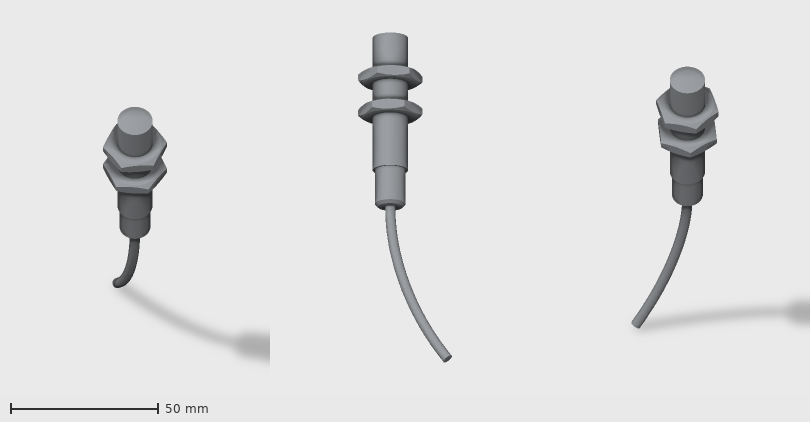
import cadquery as cq
import math

barrel_diameter = 12.0
rear_diameter = 10.5
rear_length = 13.1
rear_chamfer = 1.1
rim_height = 60.3
dome_rise = 0.8

cable_diameter = 3.5
cable_mid_offset = 3.8
cable_mid_drop = 24.1
cable_end_offset = 19.9
cable_end_drop = 55.6
cable_end_angle = 37.0

nut_across_flats = 19.0
nut_thickness = 4.0
nut_face_diameter = 17.9
nut_chamfer_angle = 25.0
upper_nut_base = 43.8
nut_pitch = 12.0
upper_nut_turn = 18.0
lower_nut_turn = 7.6


def make_barrel():
    """Stepped round barrel with a chamfered rear end and a domed front."""
    barrel_radius = barrel_diameter / 2
    rear_radius = rear_diameter / 2
    dome_radius = (barrel_radius**2 + dome_rise**2) / (2 * dome_rise)
    apex_height = rim_height + dome_rise
    mid_radius = barrel_radius / 2
    mid_height = apex_height - dome_radius + math.sqrt(dome_radius**2 - mid_radius**2)
    return (
        cq.Workplane("XZ")
        .moveTo(0, 0)
        .lineTo(rear_radius - rear_chamfer, 0)
        .lineTo(rear_radius, rear_chamfer)
        .lineTo(rear_radius, rear_length)
        .lineTo(barrel_radius, rear_length)
        .lineTo(barrel_radius, rim_height)
        .threePointArc((mid_radius, mid_height), (0, apex_height))
        .close()
        .revolve(360, (0, 0), (0, 1))
    )


def make_cable():
    """Round cable swept along a smooth curve that bends away from the barrel axis."""
    end_turn = math.radians(cable_end_angle)
    path = cq.Workplane("XZ").spline(
        [(0, 0), (-cable_mid_offset, -cable_mid_drop), (-cable_end_offset, -cable_end_drop)],
        tangents=[(0, -1), (-math.sin(end_turn), -math.cos(end_turn))],
    )
    return cq.Workplane("XY").circle(cable_diameter / 2).sweep(path)


def make_nut(base_height, turn):
    """Hexagonal nut around the barrel, with one corner turned from +X by the given angle."""
    corner_radius = nut_across_flats / 2 / math.cos(math.radians(30))
    face_radius = nut_face_diameter / 2
    chamfer_height = (corner_radius - face_radius) * math.tan(math.radians(nut_chamfer_angle))
    hexagon = cq.Workplane("XY").polygon(6, 2 * corner_radius).extrude(nut_thickness)
    chamfered_blank = (
        cq.Workplane("XZ")
        .moveTo(0, 0)
        .lineTo(face_radius, 0)
        .lineTo(corner_radius, chamfer_height)
        .lineTo(corner_radius, nut_thickness - chamfer_height)
        .lineTo(face_radius, nut_thickness)
        .lineTo(0, nut_thickness)
        .close()
        .revolve(360, (0, 0), (0, 1))
    )
    bore = cq.Workplane("XY").circle(barrel_diameter / 2).extrude(nut_thickness)
    nut = hexagon.intersect(chamfered_blank).cut(bore)
    return nut.rotate((0, 0, 0), (0, 0, 1), turn).translate((0, 0, base_height))


sensor = make_barrel().union(make_cable())

nuts = [
    make_nut(upper_nut_base - index * nut_pitch, turn)
    for index, turn in enumerate((upper_nut_turn, lower_nut_turn))
]

result = cq.Compound.makeCompound([sensor.val(), *[nut.val() for nut in nuts]])